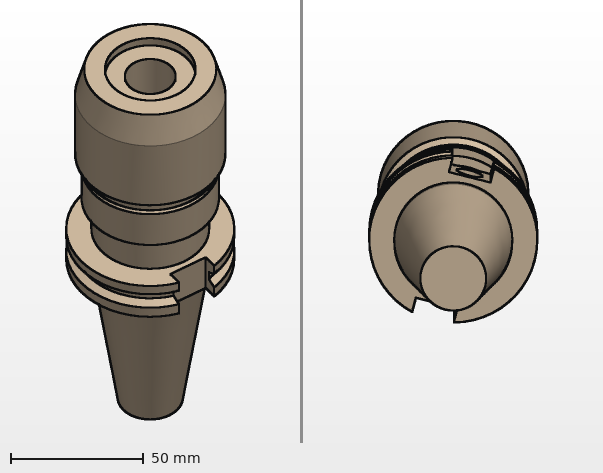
import cadquery as cq

taper_top = 68.5
flange_bottom = 71.5
lower_rim_top = 76.3
v_floor_bottom = 77.8
v_floor_top = 81.2
upper_rim_bottom = 83.2
flange_top = 87.5
sleeve_bottom = 103.3
ring_groove_bottom = 119.2
ring_groove_middle = 120.3
ring_groove_top = 121.3
nut_bottom = 124.3
nut_chamfer_top = 126.2
nose_cone_bottom = 157.0
total_height = 169.8

taper_small_diameter = 24.8
shank_diameter = 44.5
flange_diameter = 63.4
v_groove_diameter = 56.4
sleeve_diameter = 51.8
ring_groove_diameter = 49.8
nut_diameter = 56.7
nose_diameter = 49.8

recess_diameter = 34.1
recess_depth = 3.7
bore_diameter = 19.2
bore_depth = 51.0
bore_groove_width = 2.5
bore_groove_angle = 45
bore_groove_start = 2.0

slot_width = 16.1
slot_floor_offset = 25.0
slot_hole_diameter = 10.0
slot_hole_depth = 5.1


def revolved_body():
    """Solid of revolution about Z from (diameter, level) steps."""
    steps = [
        (0, 0),
        (taper_small_diameter, 0),
        (shank_diameter, taper_top),
        (shank_diameter, flange_bottom),
        (flange_diameter, flange_bottom),
        (flange_diameter, lower_rim_top),
        (v_groove_diameter, v_floor_bottom),
        (v_groove_diameter, v_floor_top),
        (flange_diameter, upper_rim_bottom),
        (flange_diameter, flange_top),
        (shank_diameter, flange_top),
        (shank_diameter, sleeve_bottom),
        (sleeve_diameter, sleeve_bottom),
        (sleeve_diameter, ring_groove_bottom),
        (ring_groove_diameter, ring_groove_middle),
        (sleeve_diameter, ring_groove_top),
        (sleeve_diameter, nut_bottom),
        (nut_diameter, nut_chamfer_top),
        (nut_diameter, nose_cone_bottom),
        (nose_diameter, total_height),
        (0, total_height),
    ]
    outline = [(diameter / 2, level) for diameter, level in steps]
    return cq.Workplane("XZ").polyline(outline).close().revolve(360, (0, 0), (0, 1))


def cut_clamping_bore(body):
    """Sink the shallow recess and the tool bore from the nose face."""
    nose_face = cq.Workplane("XY", origin=(0, 0, total_height))
    recess = nose_face.circle(recess_diameter / 2).extrude(-recess_depth)
    bore = nose_face.circle(bore_diameter / 2).extrude(-bore_depth)
    return body.cut(recess).cut(bore)


def bore_groove():
    """Round lengthwise groove in the bore wall, starting just below the recess floor."""
    groove_top = total_height - recess_depth - bore_groove_start
    bore_bottom = total_height - bore_depth
    return (
        cq.Workplane("XY", origin=(0, 0, groove_top))
        .center(bore_diameter / 2, 0)
        .circle(bore_groove_width / 2)
        .extrude(bore_bottom - groove_top)
        .rotate((0, 0, 0), (0, 0, 1), bore_groove_angle)
    )


def drive_slot(side):
    """Flat-floored slot through the flange height; side is -1 or +1 along X."""
    flange_height = flange_top - flange_bottom
    flange_middle = (flange_top + flange_bottom) / 2
    slot_length = flange_diameter / 2 - slot_floor_offset
    slot_center = slot_floor_offset + slot_length / 2
    return (
        cq.Workplane("XY")
        .box(slot_length, slot_width, flange_height)
        .translate((side * slot_center, 0, flange_middle))
    )


def slot_hole():
    """Blind hole into the floor of the -X slot."""
    flange_middle = (flange_top + flange_bottom) / 2
    return (
        cq.Workplane("YZ", origin=(-slot_floor_offset, 0, flange_middle))
        .circle(slot_hole_diameter / 2)
        .extrude(slot_hole_depth)
    )


result = cut_clamping_bore(revolved_body()).cut(bore_groove())
for slot_side in (-1, 1):
    result = result.cut(drive_slot(slot_side))
result = result.cut(slot_hole())